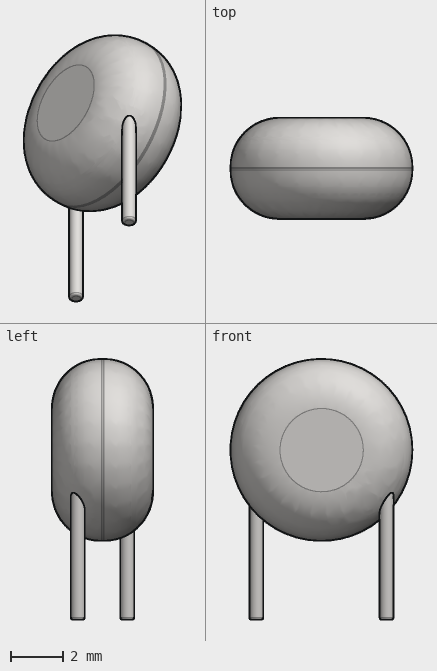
import cadquery as cq

body_diameter = 7.0
body_thickness = 3.9
rim_band_width = 0.1
edge_radius = (body_thickness - rim_band_width) / 2

lead_diameter = 0.54
lead_pitch = 5.0
lead_stagger = 1.9
lead_drop = 6.53
lead_tip_radius = 0.1


def make_body():
    """Round disc with full rounded edges and a narrow straight band at the rim."""
    disc = (
        cq.Workplane("XZ")
        .circle(body_diameter / 2)
        .extrude(body_thickness / 2, both=True)
    )
    return disc.edges().fillet(edge_radius)


def make_lead(x, y):
    """Vertical wire with a rounded tip, its upper end buried in the body."""
    wire = (
        cq.Workplane("XY", origin=(x, y, -lead_drop))
        .circle(lead_diameter / 2)
        .extrude(lead_drop)
    )
    return wire.faces("<Z").edges().fillet(lead_tip_radius)


result = make_body()
for side in (-1, 1):
    lead = make_lead(side * lead_pitch / 2, -side * lead_stagger / 2)
    result = result.union(lead)